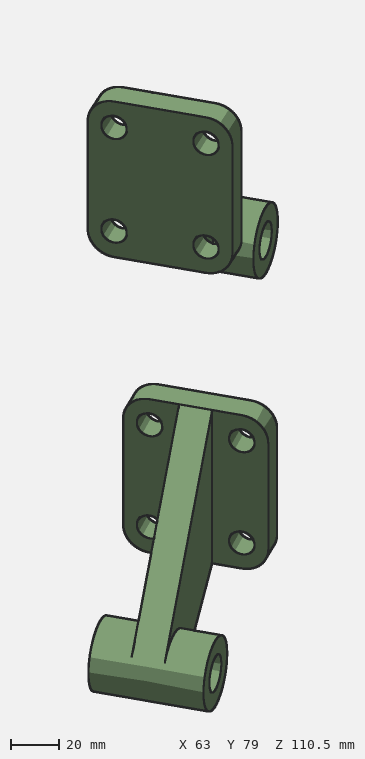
import cadquery as cq
import math

plate_width = 63.0
plate_height = 75.0
plate_thickness = 12.0
corner_radius = 11.5
bolt_hole_diameter = 11.0
bolt_spacing_x = 40.0
bolt_spacing_z = 50.0

boss_diameter = 32.0
boss_radius = boss_diameter / 2
boss_length = 50.0
bore_diameter = 16.0
boss_y = 63.0
boss_drop = 19.5
boss_z = -boss_drop

web_thickness = 14.4


def tangent_point(y, z, side):
    """Point where the line from (y, z) touches the boss; side (+1 or -1) picks the tangent."""
    dy = y - boss_y
    dz = z - boss_z
    angle = math.atan2(dz, dy) + side * math.acos(boss_radius / math.hypot(dy, dz))
    return (boss_y + boss_radius * math.cos(angle), boss_z + boss_radius * math.sin(angle))


def cylinder_along_x(diameter, length):
    """Cylinder on the boss axis, centred on x = 0."""
    return (
        cq.Workplane("YZ")
        .center(boss_y, boss_z)
        .circle(diameter / 2)
        .extrude(length / 2, both=True)
    )


def make_plate():
    """Rounded plate with four bolt holes."""
    return (
        cq.Workplane("XZ")
        .center(0, plate_height / 2)
        .rect(plate_width, plate_height)
        .extrude(-plate_thickness)
        .edges("|Y")
        .fillet(corner_radius)
        .faces("<Y")
        .workplane(origin=(0, 0, plate_height / 2))
        .rect(bolt_spacing_x, bolt_spacing_z, forConstruction=True)
        .vertices()
        .hole(bolt_hole_diameter)
    )


def make_web():
    """Web whose sloping edges run from the plate's back corners tangent to the boss."""
    top_corner = (plate_thickness, plate_height)
    bottom_corner = (plate_thickness, 0)
    return (
        cq.Workplane("YZ")
        .polyline([
            bottom_corner,
            top_corner,
            tangent_point(*top_corner, -1),
            (boss_y, boss_z),
            tangent_point(*bottom_corner, 1),
        ])
        .close()
        .extrude(web_thickness / 2, both=True)
    )


boss = cylinder_along_x(boss_diameter, boss_length)
bore = cylinder_along_x(bore_diameter, boss_length)
result = make_plate().union(make_web()).union(boss).cut(bore)